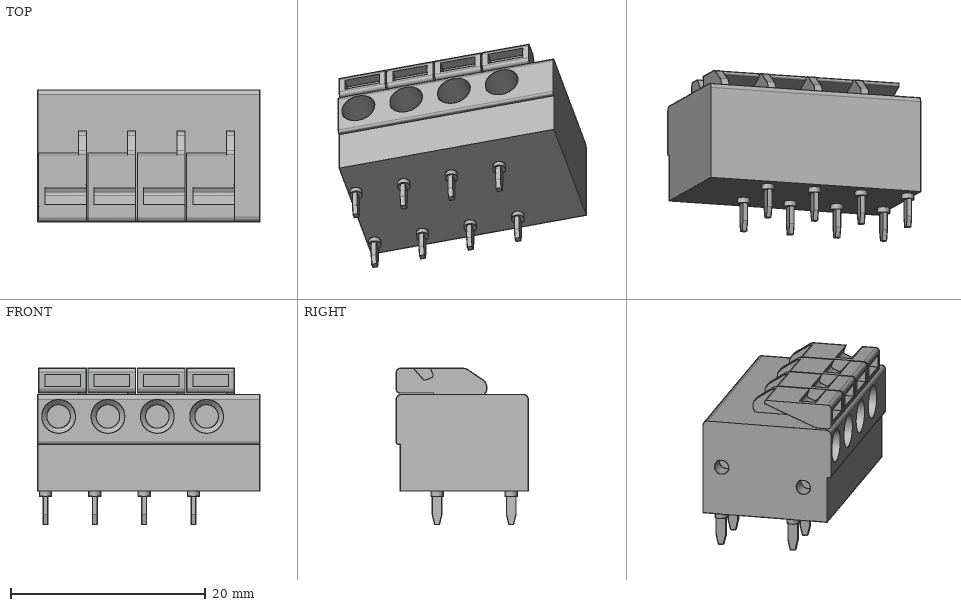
import cadquery as cq
import math

LENGTH = 22.85
DEPTH = 13.6
HEIGHT = 9.95
TOP_ROUND = 0.5
STEP_HEIGHT = 4.8
STEP_SETBACK = 0.41
STEP_ROUND = 0.25

POLE_COUNT = 4
LENGTH_IN_PITCHES = 4.5
PITCH = LENGTH / LENGTH_IN_PITCHES

ENTRY_X = 2.15
ENTRY_Z = 7.68
ENTRY_RADIUS = 1.74
ENTRY_BORE_DEPTH = 4.0
ENTRY_END_RADIUS = 1.21
ENTRY_CONE_DEPTH = ENTRY_RADIUS - ENTRY_END_RADIUS

SIDE_HOLES = [(11.61, 5.07), (2.93, 3.6)]
SIDE_HOLE_RADIUS = 0.75
SIDE_HOLE_DEPTH = 2.0

LEVER_X = 0.1
LEVER_WIDTH = 4.91
LEVER_GAP = 0.14
LEVER_BOTTOM = HEIGHT + LEVER_GAP
LEVER_TOP = 12.65
LEVER_ROUND = 0.41
LEVER_HEEL_Y = 1.6
LEVER_TILT = 22.0
LEVER_TIP_ROUND = 0.2

WEB_WIDTH = 0.82
WEB_FRONT_Y = 3.85
WEB_BACK_Y = 9.35
WEB_BACK_ROUND = 1.0
WEB_BACK_CENTRE_RISE = 0.69
WEB_SLOPE = 34.0
WEB_TOP_ROUND = 0.7

SLOT_SIDE_WALL = 0.65
SLOT_FRONT_Y = 1.78
SLOT_BACK_Y = 3.52
SLOT_CORNER_Y = 2.88
SLOT_DEPTH = 1.28
SLOT_ROUND = 0.3

POCKET_SIDE_WALL = 0.65
POCKET_WIDTH = 3.65
POCKET_BOTTOM = 10.75
POCKET_HEIGHT = 1.25
POCKET_DEPTH = 1.0

PIN_X = 0.8
PIN_ROWS_Y = [4.2, 11.85]
COLLAR_RADIUS = 0.65
COLLAR_HEIGHT = 0.55
PIN_THICKNESS = 0.5
PIN_WIDTH = 1.0
PIN_TIP_WIDTH = 0.5
PIN_LENGTH = 3.45
PIN_TAPER = 1.05


def side_profile(x):
    """Sketch plane facing +X at the given x, with sketch axes Y and Z."""
    return cq.Workplane("YZ", origin=(x, 0, 0))


def round_x_edge(body, y, z, radius):
    """Round the edge that runs along X and lies nearest to (y, z)."""
    middle_x = body.val().Center().x
    return body.edges("|X").edges(cq.NearestToPointSelector((middle_x, y, z))).fillet(radius)


def make_housing():
    outline = [
        (STEP_SETBACK, 0),
        (DEPTH, 0),
        (DEPTH, HEIGHT),
        (0, HEIGHT),
        (0, STEP_HEIGHT),
        (STEP_SETBACK, STEP_HEIGHT),
    ]
    body = side_profile(0).polyline(outline).close().extrude(LENGTH)
    body = round_x_edge(body, 0, HEIGHT, TOP_ROUND)
    body = round_x_edge(body, DEPTH, HEIGHT, TOP_ROUND)
    body = round_x_edge(body, 0, STEP_HEIGHT, STEP_ROUND)
    side_holes = side_profile(0).pushPoints(SIDE_HOLES).circle(SIDE_HOLE_RADIUS)
    return body.cut(side_holes.extrude(SIDE_HOLE_DEPTH))


def make_wire_entry():
    cone_end = ENTRY_BORE_DEPTH + ENTRY_CONE_DEPTH
    half_section = [
        (0, 0),
        (ENTRY_RADIUS, 0),
        (ENTRY_RADIUS, ENTRY_BORE_DEPTH),
        (ENTRY_END_RADIUS, cone_end),
        (0, cone_end),
    ]
    entry = cq.Workplane("XY").polyline(half_section).close().revolve(360, (0, 0), (0, 1))
    return entry.translate((ENTRY_X, 0, ENTRY_Z))


def make_lever_wedge():
    tip_y = LEVER_HEEL_Y + (LEVER_TOP - LEVER_BOTTOM) / math.tan(math.radians(LEVER_TILT))
    outline = [
        (0, LEVER_BOTTOM),
        (LEVER_HEEL_Y, LEVER_BOTTOM),
        (tip_y, LEVER_TOP),
        (0, LEVER_TOP),
    ]
    wedge = side_profile(LEVER_X).polyline(outline).close().extrude(LEVER_WIDTH)
    wedge = round_x_edge(wedge, 0, LEVER_BOTTOM, LEVER_ROUND)
    wedge = round_x_edge(wedge, 0, LEVER_TOP, LEVER_ROUND)
    return round_x_edge(wedge, tip_y, LEVER_TOP, LEVER_TIP_ROUND)


def make_lever_web():
    slope = math.radians(WEB_SLOPE)
    centre_y = WEB_BACK_Y - WEB_BACK_ROUND
    centre_z = HEIGHT + WEB_BACK_CENTRE_RISE
    foot_y = centre_y + math.sqrt(WEB_BACK_ROUND**2 - WEB_BACK_CENTRE_RISE**2)
    slope_y = centre_y + WEB_BACK_ROUND * math.sin(slope)
    slope_z = centre_z + WEB_BACK_ROUND * math.cos(slope)
    crest_y = slope_y - (LEVER_TOP - slope_z) / math.tan(slope)
    web = (
        side_profile(LEVER_X + LEVER_WIDTH - WEB_WIDTH)
        .moveTo(WEB_FRONT_Y, HEIGHT)
        .lineTo(foot_y, HEIGHT)
        .threePointArc((WEB_BACK_Y, centre_z), (slope_y, slope_z))
        .lineTo(crest_y, LEVER_TOP)
        .lineTo(LEVER_HEEL_Y, LEVER_TOP)
        .lineTo(LEVER_HEEL_Y, LEVER_BOTTOM)
        .lineTo(WEB_FRONT_Y, LEVER_BOTTOM)
        .close()
        .extrude(WEB_WIDTH)
    )
    return round_x_edge(web, crest_y, LEVER_TOP, WEB_TOP_ROUND)


def make_slot():
    tilt = math.radians(LEVER_TILT)
    corner_z = LEVER_TOP - SLOT_DEPTH
    run = SLOT_BACK_Y - SLOT_CORNER_Y
    floor_length = run * math.cos(tilt) + SLOT_DEPTH * math.sin(tilt)
    back_y = SLOT_CORNER_Y + floor_length * math.cos(tilt)
    back_z = corner_z + floor_length * math.sin(tilt)
    outline = [
        (SLOT_FRONT_Y, LEVER_TOP),
        (SLOT_CORNER_Y, corner_z),
        (back_y, back_z),
        (SLOT_BACK_Y, LEVER_TOP),
    ]
    slot_width = LEVER_WIDTH - SLOT_SIDE_WALL
    slot = side_profile(LEVER_X + SLOT_SIDE_WALL).polyline(outline).close().extrude(slot_width)
    slot = round_x_edge(slot, SLOT_CORNER_Y, corner_z, SLOT_ROUND)
    return round_x_edge(slot, back_y, back_z, SLOT_ROUND)


def make_lever():
    pocket = cq.Workplane("XY").box(POCKET_WIDTH, POCKET_DEPTH, POCKET_HEIGHT, centered=False)
    pocket = pocket.translate((LEVER_X + POCKET_SIDE_WALL, 0, POCKET_BOTTOM))
    return make_lever_wedge().union(make_lever_web()).cut(make_slot()).cut(pocket)


def make_pin():
    """One pin on the Z axis, hanging from the housing underside."""
    collar = cq.Workplane("XY").circle(COLLAR_RADIUS).extrude(-COLLAR_HEIGHT)
    taper_z = PIN_TAPER - PIN_LENGTH
    outline = [
        (-PIN_WIDTH / 2, 0),
        (-PIN_WIDTH / 2, taper_z),
        (-PIN_TIP_WIDTH / 2, -PIN_LENGTH),
        (PIN_TIP_WIDTH / 2, -PIN_LENGTH),
        (PIN_WIDTH / 2, taper_z),
        (PIN_WIDTH / 2, 0),
    ]
    blade = side_profile(-PIN_THICKNESS / 2).polyline(outline).close().extrude(PIN_THICKNESS)
    return collar.union(blade)


result = make_housing()
wire_entry = make_wire_entry()
lever = make_lever()
pin = make_pin()

for pole in range(POLE_COUNT):
    pole_x = pole * PITCH
    result = result.cut(wire_entry.translate((pole_x, 0, 0)))
    result = result.union(lever.translate((pole_x, 0, 0)))
    for row_y in PIN_ROWS_Y:
        result = result.union(pin.translate((PIN_X + pole_x, row_y, 0)))